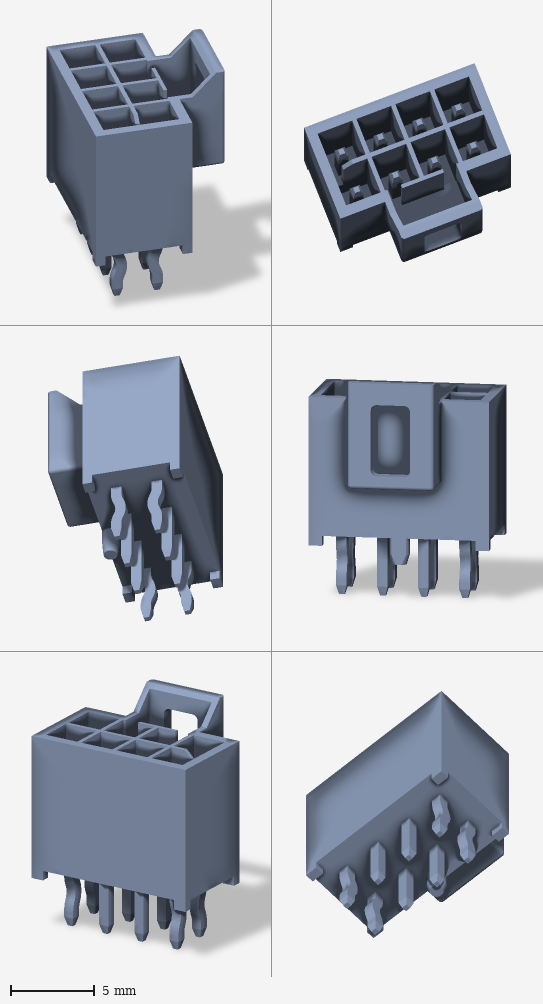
import cadquery as cq
import math


body_width = 10.94
body_depth = 5.99
body_height = 9.05
foot_height = 0.6
foot_width = 0.81
foot_depth = 0.59
back_face = body_depth / 2

columns = 4
rows = 2
pitch = 2.5
partition = 0.27
cell_size = pitch - partition
cell_floor = 2.2
cell_back = pitch / 2 + cell_size / 2
column_places = [(i - (columns - 1) / 2) * pitch for i in range(columns)]
row_places = [(i - (rows - 1) / 2) * pitch for i in range(rows)]

latch_width = 5.21
latch_reach = 2.85
latch_top = 10.52
latch_drop = 4.99
latch_bottom = body_height - latch_drop
latch_lip = 0.56
latch_back_wall = 0.84
latch_fillet = 0.2
latch_back = back_face + latch_reach
channel_width = 4.41
latch_side_wall = (latch_width - channel_width) / 2
channel_floor = latch_bottom + latch_side_wall
window_width = 2.39
window_rise = 0.15
window_top = body_height + window_rise
window_sill_height = 0.41
window_sill = channel_floor + window_sill_height
window_radius = 0.35

screen_width = 2.69
screen_thickness = 0.23

gap_width = 0.69
gap_chamfer = 0.6

pin_size = 0.65
pin_tip_size = 0.33
pin_tip_length = 0.56
pin_bottom = -3.2
pin_recess = 2.05
pin_top = body_height - pin_recess
kink_offset = 0.26
kink_length = 2.28
kink_top = 0.03

peg_diameter = 1.19
peg_tip_diameter = 0.84
peg_bottom = -1.01
peg_tip_length = 0.6
peg_inset = 0.4
peg_y = back_face - peg_inset


def box(x_range, y_range, z_range):
    """Block spanning the given (low, high) pairs."""
    sizes = [high - low for low, high in (x_range, y_range, z_range)]
    corner = (x_range[0], y_range[0], z_range[0])
    return cq.Workplane("XY").box(*sizes, centered=False).translate(corner)


def make_housing():
    """Block whose underside is relieved both ways, leaving four corner feet."""
    block = cq.Workplane("XY").box(body_width, body_depth, body_height, centered=(True, True, False))
    relief_x = body_width - 2 * foot_width
    relief_y = body_depth - 2 * foot_depth
    across_x = cq.Workplane("XY").box(body_width, relief_y, foot_height, centered=(True, True, False))
    across_y = cq.Workplane("XY").box(relief_x, body_depth, foot_height, centered=(True, True, False))
    return block.cut(across_x).cut(across_y)


def make_latch():
    """Solid bracket with a 45 degree top and rounded outer edges."""
    rise = latch_top - body_height
    profile = [
        (back_face, latch_bottom),
        (latch_back, latch_bottom),
        (latch_back, latch_top),
        (latch_back - latch_lip, latch_top),
        (latch_back - latch_lip - rise, body_height),
        (back_face, body_height),
    ]
    bracket = cq.Workplane("YZ").polyline(profile).close().extrude(latch_width / 2, both=True)
    bracket = bracket.edges("(>Y and |Z) or (<Z and (not <Y))").fillet(latch_fillet)
    half = latch_width / 2
    return bracket.union(box((-half, half), (cell_back, back_face), (latch_bottom, body_height)))


def make_channel():
    """Space inside the bracket, open to the middle cavities except at the screen wall."""
    half = channel_width / 2
    channel = box((-half, half), (cell_back, latch_back - latch_back_wall), (channel_floor, latch_top))
    half = screen_width / 2
    screen = box((-half, half), (cell_back, cell_back + screen_thickness), (channel_floor, body_height))
    return channel.cut(screen)


def make_window():
    """Opening through the bracket's back wall, with rounded corners."""
    half = window_width / 2
    y_range = (latch_back - latch_back_wall, latch_back)
    opening = box((-half, half), y_range, (window_sill, window_top))
    return opening.edges("|Y").fillet(window_radius)


def make_cells():
    """All contact cavities."""
    centres = [(x, y) for x in column_places for y in row_places]
    return (
        cq.Workplane("XY", origin=(0, 0, cell_floor))
        .pushPoints(centres)
        .rect(cell_size, cell_size)
        .extrude(body_height - cell_floor)
    )


def make_partition_gap():
    """Gap at the +X end of the row partition, with a chamfered lead-in at the top."""
    outer = column_places[-1] + cell_size / 2
    inner = outer - gap_width
    profile = [
        (inner, channel_floor),
        (outer, channel_floor),
        (outer, body_height),
        (inner - gap_chamfer, body_height),
        (inner, body_height - gap_chamfer),
    ]
    return cq.Workplane("XZ").polyline(profile).close().extrude(partition / 2, both=True)


def make_tip(start, direction):
    """Tapered square pin end that starts at height start and points up (1) or down (-1)."""
    return (
        cq.Workplane("XY", origin=(0, 0, start))
        .rect(pin_size, pin_size)
        .workplane(offset=direction * pin_tip_length)
        .rect(pin_tip_size, pin_tip_size)
        .loft(combine=True)
    )


def make_straight_pin():
    """Square pin on the Z axis, tapered at both ends."""
    shank_bottom = pin_bottom + pin_tip_length
    shank_top = pin_top - pin_tip_length
    half = pin_size / 2
    shank = box((-half, half), (-half, half), (shank_bottom, shank_top))
    return shank.union(make_tip(shank_bottom, -1)).union(make_tip(shank_top, 1))


def make_kinked_pin():
    """Pin with a retention kink towards +Y, made of tangent arcs at constant thickness."""
    half = pin_size / 2
    angle = 2 * math.atan(kink_offset / (kink_length / 2))
    radius = kink_length / 4 / math.sin(angle)
    kink_bottom = kink_top - kink_length
    kink_middle = kink_top - kink_length / 2

    def side(y):
        """Points down one face of the kink, y from the pin axis."""
        end_radius = radius - y

        def end_point(turn):
            """Sideways place and drop after the first arc has turned by the given angle."""
            return radius - end_radius * math.cos(turn), end_radius * math.sin(turn)

        mid_y, mid_drop = end_point(angle / 2)
        join_y, join_drop = end_point(angle)
        return [
            (y, kink_top),
            (mid_y, kink_top - mid_drop),
            (join_y, kink_top - join_drop),
            (kink_offset + y, kink_middle),
            (join_y, kink_bottom + join_drop),
            (mid_y, kink_bottom + mid_drop),
            (y, kink_bottom),
        ]

    outer = side(-half)
    inner = side(half)[::-1]
    kink = (
        cq.Workplane("YZ")
        .moveTo(*outer[0])
        .threePointArc(outer[1], outer[2])
        .threePointArc(outer[3], outer[4])
        .threePointArc(outer[5], outer[6])
        .lineTo(*inner[0])
        .threePointArc(inner[1], inner[2])
        .threePointArc(inner[3], inner[4])
        .threePointArc(inner[5], inner[6])
        .close()
        .extrude(half, both=True)
    )
    straight_part = box((-half, half), (-half, half), (kink_bottom, kink_top))
    return make_straight_pin().cut(straight_part).union(kink)


def make_peg():
    """Round locating peg with a conical tip."""
    peg = (
        cq.Workplane("XY", origin=(0, peg_y, foot_height))
        .circle(peg_diameter / 2)
        .extrude(peg_bottom + peg_tip_length - foot_height)
    )
    tip = (
        cq.Workplane("XY", origin=(0, peg_y, peg_bottom + peg_tip_length))
        .circle(peg_diameter / 2)
        .workplane(offset=-peg_tip_length)
        .circle(peg_tip_diameter / 2)
        .loft(combine=True)
    )
    beyond = box(
        (-peg_diameter, peg_diameter), (back_face, back_face + peg_diameter), (peg_bottom, foot_height)
    )
    return peg.union(tip).cut(beyond)


result = make_housing().union(make_latch())
for cutter in (make_cells(), make_channel(), make_window(), make_partition_gap()):
    result = result.cut(cutter)
result = result.union(make_peg())

straight_pin = make_straight_pin()
front_kinked_pin = make_kinked_pin()
back_kinked_pin = front_kinked_pin.mirror("XZ")
for x in column_places:
    for y in row_places:
        if x not in (column_places[0], column_places[-1]):
            pin = straight_pin
        elif y < 0:
            pin = front_kinked_pin
        else:
            pin = back_kinked_pin
        result = result.union(pin.translate((x, y, 0)))